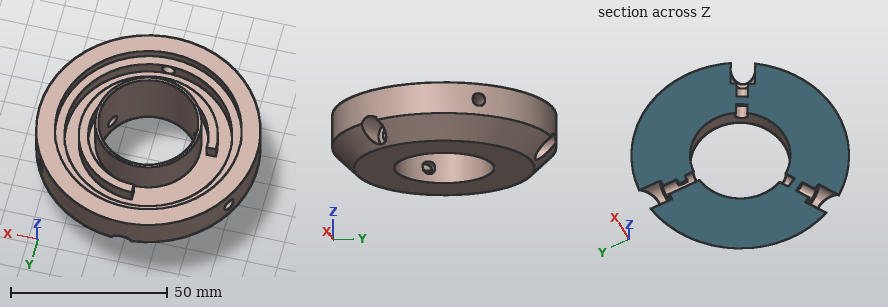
import cadquery as cq

body_diameter = 71.9
rim_height = 17.4
chamfer_size = 7.05

total_height = 22.0
tube_diameter = 34.0
bore_diameter = 32.0

recess_diameter = 59.9
ledge_height = 14.4
channel_diameter = 53.8
floor_height = 10.0

ring_outer_diameter = 44.6
ring_inner_diameter = 38.55
ring_start_angle = 180.0
ring_sweep = 270.0

holes_per_set = 3
hole_diameter = 4.2
vent_height = 12.15
vent_first_angle = 30.0
counterbore_diameter = 8.0
counterbore_floor_radius = 27.0
screw_height = 4.95
screw_first_angle = 90.0


def make_body():
    """Revolve the half section of the body, channel and tube."""
    body_radius = body_diameter / 2
    return (
        cq.Workplane("XZ")
        .moveTo(bore_diameter / 2, 0)
        .lineTo(body_radius - chamfer_size, 0)
        .lineTo(body_radius, chamfer_size)
        .lineTo(body_radius, rim_height)
        .lineTo(recess_diameter / 2, rim_height)
        .lineTo(recess_diameter / 2, ledge_height)
        .lineTo(channel_diameter / 2, ledge_height)
        .lineTo(channel_diameter / 2, floor_height)
        .lineTo(tube_diameter / 2, floor_height)
        .lineTo(tube_diameter / 2, total_height)
        .lineTo(bore_diameter / 2, total_height)
        .close()
        .revolve(360, (0, 0), (0, 1))
    )


def make_partial_ring():
    """Revolve the ring section, rooted in the solid below the channel floor."""
    root_height = floor_height / 2
    return (
        cq.Workplane("XZ")
        .moveTo(ring_inner_diameter / 2, root_height)
        .lineTo(ring_outer_diameter / 2, root_height)
        .lineTo(ring_outer_diameter / 2, ledge_height)
        .lineTo(ring_inner_diameter / 2, ledge_height)
        .close()
        .revolve(ring_sweep, (0, 0), (0, 1))
        .rotate((0, 0, 0), (0, 0, 1), ring_start_angle)
    )


def radial_cutter(diameter, inner_radius, height, angle):
    """Horizontal cylinder from inner_radius out to the body's outer radius."""
    return (
        cq.Workplane("YZ", origin=(inner_radius, 0, height))
        .circle(diameter / 2)
        .extrude(body_diameter / 2 - inner_radius)
        .rotate((0, 0, 0), (0, 0, 1), angle)
    )


result = make_body()

vent_start_radius = (ring_outer_diameter + channel_diameter) / 4
screw_start_radius = bore_diameter / 4
spacing = 360 / holes_per_set

for index in range(holes_per_set):
    vent_angle = vent_first_angle + index * spacing
    screw_angle = screw_first_angle + index * spacing
    result = result.cut(radial_cutter(hole_diameter, vent_start_radius, vent_height, vent_angle))
    result = result.cut(radial_cutter(hole_diameter, screw_start_radius, screw_height, screw_angle))
    result = result.cut(
        radial_cutter(counterbore_diameter, counterbore_floor_radius, screw_height, screw_angle)
    )

result = result.union(make_partial_ring())